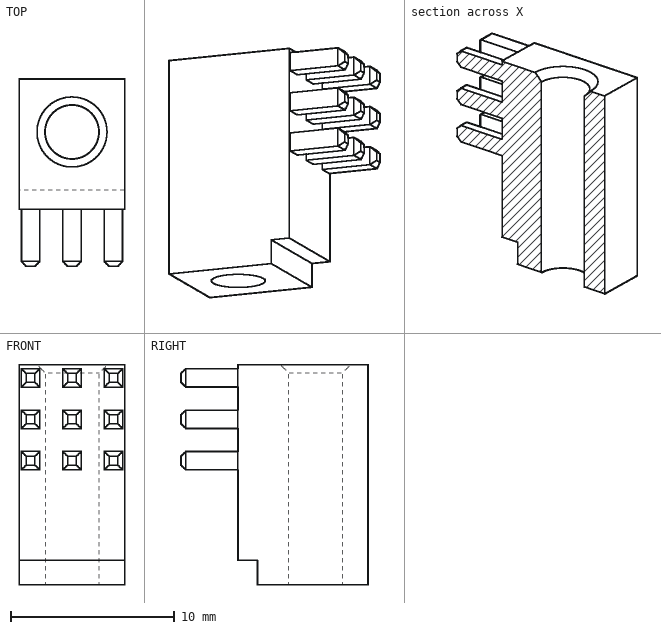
import cadquery as cq

body_width = 6.5
body_depth = 8.0
body_height = 13.5

step_depth = 1.2
step_height = 1.5

hole_diameter = 3.3
hole_mouth_chamfer = 0.5
hole_to_back = 3.25

pin_pitch = 2.54
pin_columns = 3
pin_rows = 3
pin_size = 1.14
pin_length = 3.5
pin_tip_size = 0.54
pin_tip_length = 0.32
top_row_drop = 0.81


def make_body():
    block = cq.Workplane("XY").box(
        body_width, body_depth, body_height, centered=(True, False, False)
    )
    step = cq.Workplane("XY").box(
        body_width, step_depth, step_height, centered=(True, False, False)
    )
    return block.cut(step)


def make_hole():
    """Through hole and its conical mouth, as one cutting solid of revolution."""
    radius = hole_diameter / 2
    profile = [
        (0, 0),
        (radius, 0),
        (radius, body_height - hole_mouth_chamfer),
        (radius + hole_mouth_chamfer, body_height),
        (0, body_height),
    ]
    cutter = cq.Workplane("XZ").polyline(profile).close().revolve(360, (0, 0), (0, 1))
    return cutter.translate((0, body_depth - hole_to_back, 0))


def make_pin():
    """Pin on the Y axis, pointing to -Y from the front face."""
    shank_length = pin_length - pin_tip_length
    shank = cq.Workplane("XZ").rect(pin_size, pin_size).extrude(shank_length)
    tip = (
        cq.Workplane("XZ", origin=(0, -shank_length, 0))
        .rect(pin_size, pin_size)
        .workplane(offset=pin_tip_length)
        .rect(pin_tip_size, pin_tip_size)
        .loft(ruled=True)
    )
    return shank.union(tip)


result = make_body().cut(make_hole())

pin = make_pin()
for column in range(pin_columns):
    x = (column - (pin_columns - 1) / 2) * pin_pitch
    for row in range(pin_rows):
        z = body_height - top_row_drop - row * pin_pitch
        result = result.union(pin.translate((x, 0, z)))